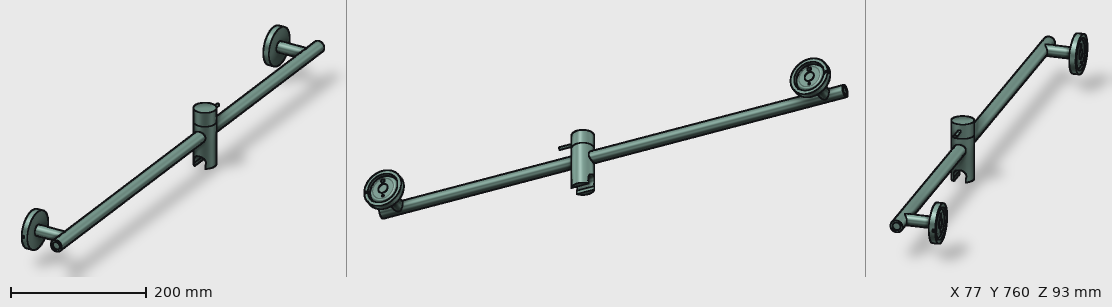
import cadquery as cq

LENGTH = 760.0
DEPTH = 77.0

RAIL_DIAMETER = 19.0
END_RECESS_RADIUS = 6.0
END_RECESS_DEPTH = 1.0

FLANGE_RADIUS = 30.5
FLANGE_THICKNESS = 10.0
FLANGE_RECESS_RADIUS = 24.0
FLANGE_RECESS_DEPTH = 7.5
POST_DIAMETER = 17.5

BOSS_RADIUS = 23.5
BOSS_HEIGHT = 7.0
BOSS_ROUNDING = 6.45
BOSS_BORE_RADIUS = 7.5
BOSS_BORE_DEPTH = 1.0
UPPER_HOLE_RADIUS = 3.0
LOWER_HOLE_RADIUS = 1.5
HOLE_OFFSET = 13.0
GRUB_HOLE_RADIUS = 2.0
GRUB_HOLE_X = 1.9

SLIDER_DIAMETER = 34.0
SLIDER_Y = 50.0
SLIDER_HEIGHT = 93.0
SLIDER_TOP = 42.0
KNOB_HEIGHT = 23.0

SLOT_RADIUS = 10.0
SLOT_MOUTH = 18.0
SLOT_CEILING = 20.0

LEVER_RADIUS = 2.0
LEVER_REACH = 38.0

RAIL_RADIUS = RAIL_DIAMETER / 2
POST_RADIUS = POST_DIAMETER / 2
SLIDER_RADIUS = SLIDER_DIAMETER / 2
AXIS_X = DEPTH - SLIDER_RADIUS
MOUNT_Y = LENGTH / 2 - FLANGE_RADIUS
SLIDER_BOTTOM = SLIDER_TOP - SLIDER_HEIGHT
KNOB_BOTTOM = SLIDER_TOP - KNOB_HEIGHT
BOSS_FACE_X = FLANGE_RECESS_DEPTH - BOSS_HEIGHT


def cylinder_x(radius, x_start, x_end, y, z=0.0):
    """Cylinder along X between two X positions."""
    return cq.Workplane("YZ", origin=(x_start, y, z)).circle(radius).extrude(x_end - x_start)


def cylinder_y(radius, y_start, y_end, x, z=0.0):
    """Cylinder along Y between two Y positions."""
    return cq.Workplane("XZ", origin=(x, y_start, z)).circle(radius).extrude(y_start - y_end)


def cylinder_z(radius, z_start, z_end):
    """Cylinder on the slider axis between two heights."""
    return cq.Workplane("XY", origin=(AXIS_X, SLIDER_Y, z_start)).circle(radius).extrude(z_end - z_start)


def make_boss(y):
    """Rounded boss on the flange recess floor, with a shallow bore and two screw holes."""
    boss = cylinder_x(BOSS_RADIUS, BOSS_FACE_X, FLANGE_RECESS_DEPTH, y)
    boss = boss.faces("<X").edges().fillet(BOSS_ROUNDING)
    openings = (
        (BOSS_BORE_RADIUS, BOSS_BORE_DEPTH, 0.0),
        (UPPER_HOLE_RADIUS, BOSS_HEIGHT, HOLE_OFFSET),
        (LOWER_HOLE_RADIUS, BOSS_HEIGHT, -HOLE_OFFSET),
    )
    for radius, depth, z in openings:
        boss = boss.cut(cylinder_x(radius, BOSS_FACE_X, BOSS_FACE_X + depth, y, z))
    return boss


def make_mount(side):
    """Flange, boss and post at one end; side is +1 or -1 along Y."""
    y = side * MOUNT_Y
    flange = cylinder_x(FLANGE_RADIUS, 0, FLANGE_THICKNESS, y)
    flange = flange.cut(cylinder_x(FLANGE_RECESS_RADIUS, 0, FLANGE_RECESS_DEPTH, y))
    grub_hole = cylinder_y(
        GRUB_HOLE_RADIUS, y + side * BOSS_RADIUS, y + side * FLANGE_RADIUS, GRUB_HOLE_X
    )
    post = cylinder_x(POST_RADIUS, FLANGE_THICKNESS, AXIS_X, y)
    return flange.cut(grub_hole).union(make_boss(y)).union(post)


def make_rail():
    """Rail with a recess in each end and its two wall mounts."""
    rail = cylinder_y(RAIL_RADIUS, -LENGTH / 2, LENGTH / 2, AXIS_X)
    for side in (1, -1):
        end_y = side * LENGTH / 2
        rail = rail.union(make_mount(side))
        rail = rail.cut(cylinder_y(END_RECESS_RADIUS, end_y - side * END_RECESS_DEPTH, end_y, AXIS_X))
    return rail


def make_slider():
    """Slider body bored for the rail, with the holder slot open at the bottom."""
    body = cylinder_z(SLIDER_RADIUS, SLIDER_BOTTOM, KNOB_BOTTOM)
    y_start = SLIDER_Y - SLIDER_RADIUS
    y_end = SLIDER_Y + SLIDER_RADIUS
    slot_z = SLIDER_BOTTOM + SLOT_CEILING - SLOT_RADIUS
    mouth = cq.Workplane("XY").box(SLOT_MOUTH, y_end - y_start, slot_z - SLIDER_BOTTOM)
    mouth = mouth.translate((AXIS_X, SLIDER_Y, (slot_z + SLIDER_BOTTOM) / 2))
    body = body.cut(cylinder_y(RAIL_RADIUS, y_start, y_end, AXIS_X))
    return body.cut(mouth).cut(cylinder_y(SLOT_RADIUS, y_start, y_end, AXIS_X, slot_z))


def make_knob():
    """Knob on top of the slider with its lever pointing to +Y."""
    knob = cylinder_z(SLIDER_RADIUS, KNOB_BOTTOM, SLIDER_TOP)
    lever_z = (KNOB_BOTTOM + SLIDER_TOP) / 2
    return knob.union(cylinder_y(LEVER_RADIUS, SLIDER_Y, SLIDER_Y + LEVER_REACH, AXIS_X, lever_z))


rail = make_rail()
slider = make_slider()
knob = make_knob()
result = cq.Compound.makeCompound([rail.val(), slider.val(), knob.val()])